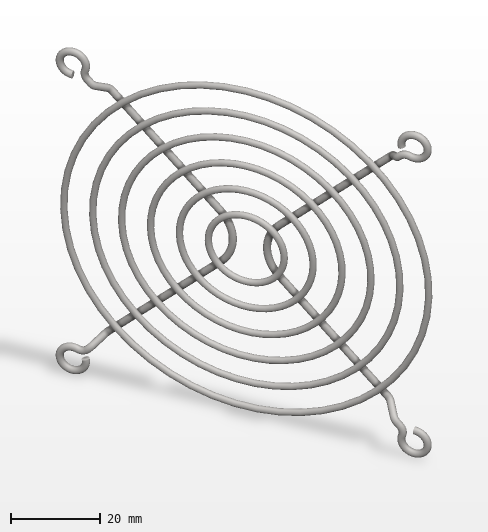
import cadquery as cq
import math


OVERALL_SIZE = 90.7

RING_WIRE_DIAMETER = 1.6
INNER_RING_RADIUS = 9.2
RING_PITCH = 7.0
RING_COUNT = 6

SUPPORT_WIRE_DIAMETER = 1.8
OVERALL_DEPTH = 5.5
RING_SETBACK = 2.2
CENTRE_BEND_RADIUS = 10.0
UPPER_JOG_START = 47.8
LOWER_JOG_START = 48.8
JOG_ANGLE = 45.0
JOG_BEND_RADIUS = 1.8

EYE_RADIUS = 3.2
EYE_NECK_RADIUS = 2.4
UPPER_EYE_END_ANGLE = 45.0
LOWER_EYE_END_ANGLE = 30.0

SUPPORT_Y = RING_SETBACK
JOG_DEPTH = OVERALL_DEPTH - SUPPORT_WIRE_DIAMETER
EYE_Y = SUPPORT_Y - JOG_DEPTH
JOG_LENGTH = JOG_DEPTH / math.tan(math.radians(JOG_ANGLE))
EYE_OFFSET = OVERALL_SIZE / 2 - SUPPORT_WIRE_DIAMETER / 2 - EYE_RADIUS
EYE_CENTRE = EYE_OFFSET * math.sqrt(2)
NECK_START = EYE_CENTRE - math.sqrt(EYE_RADIUS**2 + 2 * EYE_RADIUS * EYE_NECK_RADIUS)
NECK_SWEEP = math.degrees(math.acos(EYE_NECK_RADIUS / (EYE_RADIUS + EYE_NECK_RADIUS)))


def make_ring(radius):
    """Closed round-wire ring around the Y axis."""
    ring_axis = cq.Vector(0, 1, 0)
    return cq.Workplane(cq.Solid.makeTorus(radius, RING_WIRE_DIAMETER / 2, cq.Vector(0, 0, 0), ring_axis))


def arm_point(arm_angle, radial, lateral, y):
    """Point beside an arm; lateral is counterclockwise as seen from the front."""
    angle = math.radians(arm_angle)
    x = radial * math.cos(angle) - lateral * math.sin(angle)
    z = radial * math.sin(angle) + lateral * math.cos(angle)
    return cq.Vector(x, y, z)


def eye_plane_arc(arm_angle, centre, radius, start_angle, end_angle):
    """Arc in the eye plane, about a (radial, lateral) centre."""
    points = []
    for angle in (start_angle, (start_angle + end_angle) / 2, end_angle):
        radial = centre[0] + radius * math.cos(math.radians(angle))
        lateral = centre[1] + radius * math.sin(math.radians(angle))
        points.append(arm_point(arm_angle, radial, lateral, EYE_Y))
    return cq.Edge.makeThreePointArc(*points)


def arm_edges(arm_angle, jog_start, eye_end_angle):
    """Centreline of one arm, from the centre bend out to the free end of its eye."""
    jog_end = jog_start + JOG_LENGTH
    slope = math.radians(JOG_ANGLE)
    tangent = JOG_BEND_RADIUS * math.tan(slope / 2)
    run = tangent * math.cos(slope)
    drop = tangent * math.sin(slope)
    mid_run = JOG_BEND_RADIUS * math.sin(slope / 2)
    mid_drop = JOG_BEND_RADIUS * (1 - math.cos(slope / 2))

    def on_diagonal(radial, y):
        return arm_point(arm_angle, radial, 0, y)

    inner_end = on_diagonal(CENTRE_BEND_RADIUS, SUPPORT_Y)
    back_bend = (
        on_diagonal(jog_start - tangent, SUPPORT_Y),
        on_diagonal(jog_start - tangent + mid_run, SUPPORT_Y - mid_drop),
        on_diagonal(jog_start + run, SUPPORT_Y - drop),
    )
    front_bend = (
        on_diagonal(jog_end - run, EYE_Y + drop),
        on_diagonal(jog_end + tangent - mid_run, EYE_Y + mid_drop),
        on_diagonal(jog_end + tangent, EYE_Y),
    )
    neck_start = on_diagonal(NECK_START, EYE_Y)
    neck_centre = (NECK_START, -EYE_NECK_RADIUS)
    eye_start_angle = 270 - NECK_SWEEP
    eye_stop_angle = 540 - eye_end_angle
    return [
        cq.Edge.makeLine(inner_end, back_bend[0]),
        cq.Edge.makeThreePointArc(*back_bend),
        cq.Edge.makeLine(back_bend[2], front_bend[0]),
        cq.Edge.makeThreePointArc(*front_bend),
        cq.Edge.makeLine(front_bend[2], neck_start),
        eye_plane_arc(arm_angle, neck_centre, EYE_NECK_RADIUS, 90, 90 - NECK_SWEEP),
        eye_plane_arc(arm_angle, (EYE_CENTRE, 0), EYE_RADIUS, eye_start_angle, eye_stop_angle),
    ]


def make_support_wire(facing_angle):
    """Support wire with arms 45 degrees either side of the facing angle.

    At a facing angle of 180 the first arm is the upper left one, the second the lower left.
    """
    first_arm = facing_angle - 45
    second_arm = facing_angle + 45
    bend_apex = CENTRE_BEND_RADIUS * (math.sqrt(2) - 1)
    centre_bend = cq.Edge.makeThreePointArc(
        arm_point(first_arm, CENTRE_BEND_RADIUS, 0, SUPPORT_Y),
        arm_point(facing_angle, bend_apex, 0, SUPPORT_Y),
        arm_point(second_arm, CENTRE_BEND_RADIUS, 0, SUPPORT_Y),
    )
    upper_arm = arm_edges(first_arm, UPPER_JOG_START, UPPER_EYE_END_ANGLE)
    lower_arm = arm_edges(second_arm, LOWER_JOG_START, LOWER_EYE_END_ANGLE)
    centreline = cq.Wire.assembleEdges(upper_arm[::-1] + [centre_bend] + lower_arm)
    profile_plane = cq.Plane(origin=centreline.startPoint(), normal=centreline.tangentAt(0))
    profile = cq.Workplane(profile_plane).circle(SUPPORT_WIRE_DIAMETER / 2)
    return profile.sweep(cq.Workplane(centreline))


rings = [make_ring(INNER_RING_RADIUS + index * RING_PITCH) for index in range(RING_COUNT)]
support_wires = [make_support_wire(facing_angle) for facing_angle in (0, 180)]

result = cq.Compound.makeCompound([body.val() for body in rings + support_wires])